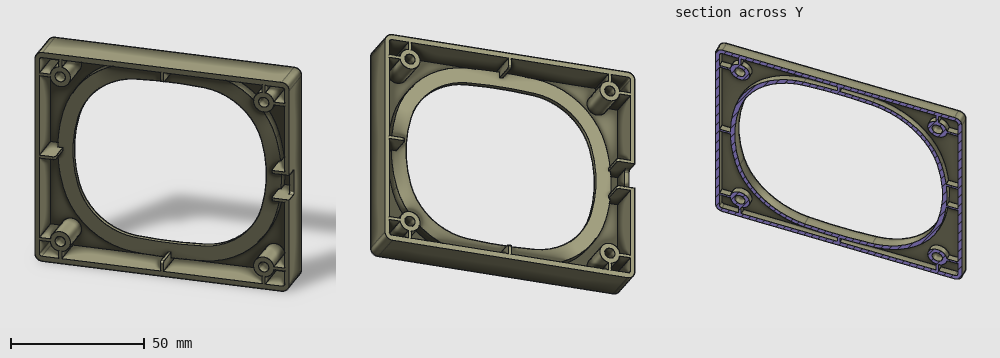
import cadquery as cq
import math

length = 100.0
depth = 15.4
height = 85.0
corner_radius = 3.0
side_wall = 1.8
top_wall = 2.1
inner_corner_radius = 1.0
floor_thickness = 1.7
rim_y = -depth / 2
back_y = depth / 2
floor_y = back_y - floor_thickness
inner_length = length - 2 * side_wall
inner_height = height - 2 * top_wall

wall_middle_x = (length - side_wall) / 2
wall_middle_z = (height - top_wall) / 2

window_length = 76.0
window_height = 65.4
window_side_radius = 50.0
window_top_radius = 180.0
window_corner_radius = 25.5
frame_width = 6.0
frame_wall = 2.0
frame_rise = 4.3
frame_y = floor_y - frame_rise

boss_x = 40.0
boss_z = 33.5
boss_diameter = 8.0
screw_hole_diameter = 4.0

rib_thickness = 1.2
half_rib = rib_thickness / 2
rib_tip_radius = 1.0
left_rib_tip_x = -42.0
middle_rib_tip_z = 36.4
notch_rib_tip_x = 43.0

notch_width = 10.0
notch_depth = 6.2
notch_corner_radius = 1.0


def box(x_range, y_range, z_range):
    """Axis-aligned box between the given pairs of coordinates."""
    corner = (min(x_range), min(y_range), min(z_range))
    sizes = [abs(end - start) for start, end in (x_range, y_range, z_range)]
    return cq.Workplane("XY").box(*sizes, centered=False).translate(corner)


def rounded_block(x_size, z_size, radius, y_start, y_end):
    """Centred block along Y with its four corners rounded."""
    block = box((-x_size / 2, x_size / 2), (y_start, y_end), (-z_size / 2, z_size / 2))
    return block.edges("|Y").fillet(radius)


def window_corner_centre():
    """Centre (x, z) of the +X +Z corner arc, tangent to the side arc and the top arc."""
    side_x = window_length / 2 - window_side_radius
    top_z = window_height / 2 - window_top_radius
    to_side = window_side_radius - window_corner_radius
    to_top = window_top_radius - window_corner_radius
    base = math.hypot(side_x, top_z)
    along = (to_side**2 - to_top**2 + base**2) / (2 * base)
    across = math.sqrt(to_side**2 - along**2)
    base_x = -side_x / base
    base_z = top_z / base
    return (side_x + along * base_x - across * base_z, along * base_z + across * base_x)


def window_block(margin, y_start, y_end):
    """Block with the window outline, grown outwards by a margin."""
    corner_x, corner_z = window_corner_centre()
    radius = window_corner_radius + margin
    half_x = window_length / 2 + margin
    half_z = window_height / 2 + margin
    side_angle = math.atan2(corner_z, corner_x - window_length / 2 + window_side_radius)
    top_angle = math.atan2(corner_z - window_height / 2 + window_top_radius, corner_x)
    middle_angle = (side_angle + top_angle) / 2
    side_end, corner_middle, top_end = [
        (corner_x + radius * math.cos(angle), corner_z + radius * math.sin(angle))
        for angle in (side_angle, middle_angle, top_angle)
    ]

    def mirrored(point, sign_x, sign_z):
        return (sign_x * point[0], sign_z * point[1])

    outline = (
        cq.Workplane("XZ", origin=(0, y_start, 0))
        .moveTo(*mirrored(side_end, 1, -1))
        .threePointArc((half_x, 0), side_end)
        .threePointArc(corner_middle, top_end)
        .threePointArc((0, half_z), mirrored(top_end, -1, 1))
        .threePointArc(mirrored(corner_middle, -1, 1), mirrored(side_end, -1, 1))
        .threePointArc((-half_x, 0), mirrored(side_end, -1, -1))
        .threePointArc(mirrored(corner_middle, -1, -1), mirrored(top_end, -1, -1))
        .threePointArc((0, -half_z), mirrored(top_end, 1, -1))
        .threePointArc(mirrored(corner_middle, 1, -1), mirrored(side_end, 1, -1))
        .close()
    )
    return outline.extrude(y_start - y_end)


def cylinder(x, z, diameter, y_start, y_end):
    """Cylinder along Y."""
    axis_start = cq.Vector(x, y_start, z)
    return cq.Workplane(
        cq.Solid.makeCylinder(diameter / 2, y_end - y_start, axis_start, cq.Vector(0, 1, 0))
    )


def rib_along_x(tip_x, z):
    """Rib from a side wall to tip_x, with its front tip corner rounded."""
    side = 1 if tip_x > 0 else -1
    wall_x = side * wall_middle_x
    rib = box((tip_x, wall_x), (rim_y, floor_y), (z - half_rib, z + half_rib))
    return rib.faces("<X" if side > 0 else ">X").edges("<Y").fillet(rib_tip_radius)


def rib_along_z(tip_z):
    """Rib from the top or bottom wall to tip_z, with its front tip corner rounded."""
    side = 1 if tip_z > 0 else -1
    wall_z = side * wall_middle_z
    rib = box((-half_rib, half_rib), (rim_y, floor_y), (tip_z, wall_z))
    return rib.faces("<Z" if side > 0 else ">Z").edges("<Y").fillet(rib_tip_radius)


result = rounded_block(length, height, corner_radius, rim_y, back_y)
result = result.cut(rounded_block(inner_length, inner_height, inner_corner_radius, rim_y, floor_y))
result = result.union(window_block(frame_width, frame_y, back_y))

for side_x in (-1, 1):
    for side_z in (-1, 1):
        x = side_x * boss_x
        z = side_z * boss_z
        wall_x = side_x * wall_middle_x
        wall_z = side_z * wall_middle_z
        result = result.union(cylinder(x, z, boss_diameter, rim_y, back_y))
        result = result.union(box((x, wall_x), (rim_y, floor_y), (z - half_rib, z + half_rib)))
        result = result.union(box((x - half_rib, x + half_rib), (rim_y, floor_y), (z, wall_z)))
        result = result.cut(cylinder(x, z, screw_hole_diameter, rim_y, back_y))

result = result.union(rib_along_x(left_rib_tip_x, 0))
for side_z in (-1, 1):
    notch_rib_z = side_z * (notch_width + rib_thickness) / 2
    result = result.union(rib_along_z(side_z * middle_rib_tip_z))
    result = result.union(rib_along_x(notch_rib_tip_x, notch_rib_z))

notch = box(
    (inner_length / 2, length / 2), (rim_y, rim_y + notch_depth), (-notch_width / 2, notch_width / 2)
)
result = result.cut(notch.faces(">Y").edges("|X").fillet(notch_corner_radius))

result = result.cut(window_block(frame_width - frame_wall, frame_y + frame_wall, back_y))
result = result.cut(window_block(0, frame_y, back_y))